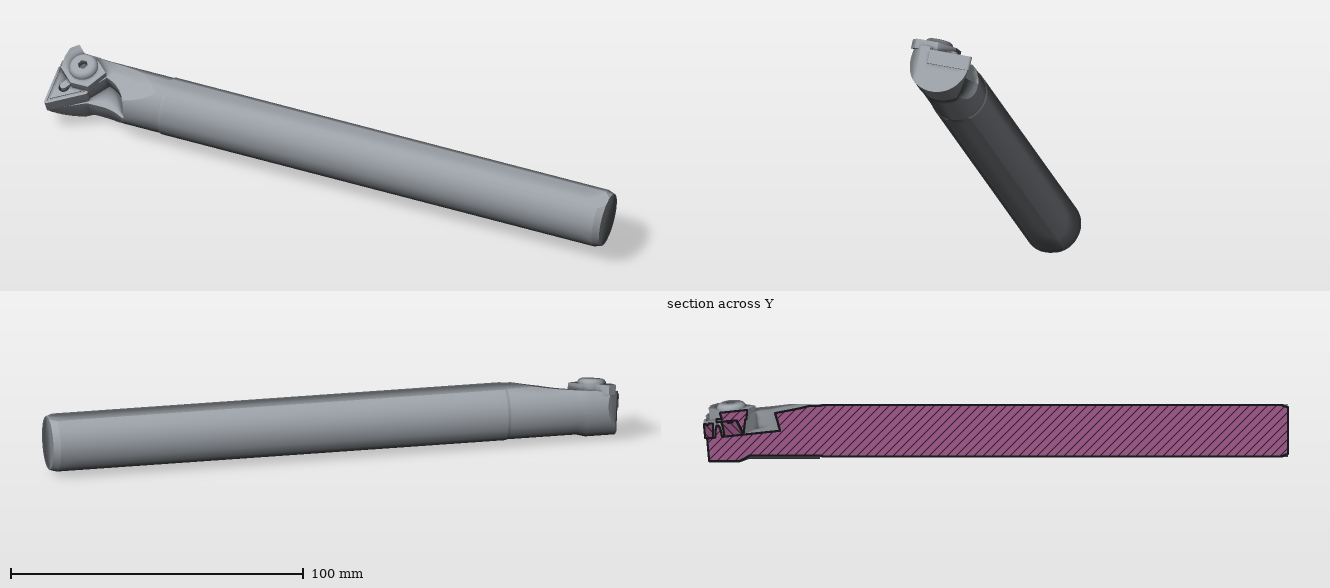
import cadquery as cq
import math


length = 200.0
shank_radius = 10.0
flat_depth = 0.9
flat_height = shank_radius - flat_depth
neck_depth = 0.3
neck_radius = shank_radius - neck_depth
neck_end = 40.0
neck_step = 1.0
end_chamfer_length = 2.5
end_chamfer_depth = 0.8

head_radius = 11.0
head_axis_y = neck_radius - head_radius
head_end = 12.5
head_blend_end = 16.0

tip_x = -0.05
tip_y = -13.5
tip_z = 0.0
end_tilt = math.radians(6)
side_tilt = math.radians(14)
edge_turn = -3.0
insert_edge = 16.5
insert_thickness = 4.8
nose_radius = 0.8
insert_hole_diameter = 3.8
land_width = 0.8
breaker_width = 0.8
breaker_depth = 0.5
edge_clearance = 0.5

step_height = 1.0
step_run = 18.0
step_end = 44.0
step_curve_radius = 136.0
reach = 60.0

flank_end = (13.2, 6.0)
relief_start = (19.0, 5.5)
relief_middle = (23.5, 4.5)
relief_end = (27.5, 2.5)
back_corner = (7.5, 24.0)
facet_back = (2.5, 19.5)
facet_front = (1.5, 17.0)

pocket_start = (4.0, 2.0)
pocket_side = (14.0, 8.5)
pocket_corner = (19.0, 14.0)
pocket_wall_middle = (24.5, 10.5)
pocket_wall_end = (27.5, 4.8)

clamp_outline = [
    (6.5, 23.5),
    (9.0, 20.8),
    (15.0, 18.5),
    (18.8, 14.5),
    (14.5, 8.0),
    (8.0, 8.5),
    (2.8, 13.5),
    (2.8, 18.0),
    (3.5, 21.5),
]
clamp_top = 3.2
dome_top = 5.0
dome_center = (10.5, 15.2)
dome_radius = 5.0
dome_edge = dome_top - clamp_top
socket_diameter = 3.5
socket_depth = 2.5
claw_width = 2.5
claw_top = 1.2

tilted = cq.Plane(
    origin=(tip_x, tip_y, tip_z),
    xDir=(math.cos(end_tilt), 0, math.sin(end_tilt)),
    normal=(
        -math.sin(end_tilt) * math.cos(side_tilt),
        -math.sin(side_tilt),
        math.cos(end_tilt) * math.cos(side_tilt),
    ),
)


def at_height(height):
    """Workplane parallel to the insert, at a height above its top face."""
    return cq.Workplane(tilted).workplane(offset=height)


def along_bisector(distance):
    """Point at a distance from the tip, on the line from the tip to the insert's center."""
    direction = math.radians(edge_turn + 60)
    return distance * math.cos(direction), distance * math.sin(direction)


def triangle(inset, height):
    """Wire of the insert triangle moved inward by inset, at a height above the insert's top face."""
    x0, y0 = along_bisector(2 * inset)
    side = insert_edge - 2 * math.sqrt(3) * inset
    corners = [(x0, y0)]
    for direction in (math.radians(edge_turn + 30), math.radians(edge_turn + 90)):
        corners.append((x0 + side * math.cos(direction), y0 + side * math.sin(direction)))
    return at_height(height).polyline(corners).close()


def insert_center():
    """Center of the insert's top face in the tilted frame."""
    return along_bisector(insert_edge / math.sqrt(3))


def insert_blank(height):
    """Rounded triangular prism standing on the seat of the insert."""
    prism = triangle(0, -insert_thickness).extrude(height)
    return prism.edges(cq.selectors.ParallelDirSelector(tilted.zDir)).fillet(nose_radius)


def build_shank():
    profile = [
        (0, 0),
        (0, neck_radius),
        (neck_end, neck_radius),
        (neck_end + neck_step, shank_radius),
        (length - end_chamfer_length, shank_radius),
        (length, shank_radius - end_chamfer_depth),
        (length, 0),
    ]
    bar = cq.Workplane("XY").polyline(profile).close().revolve(360, (0, 0), (1, 0))
    above_flat = (
        cq.Workplane("XY", origin=(0, 0, flat_height))
        .box(length, 2 * shank_radius, shank_radius, centered=(False, True, False))
    )
    below_flat = (
        cq.Workplane("XY", origin=(neck_end, 0, -flat_height - shank_radius))
        .box(length - neck_end, 2 * shank_radius, shank_radius, centered=(False, True, False))
    )
    return bar.cut(above_flat).cut(below_flat)


def build_head():
    head = cq.Workplane("YZ").center(head_axis_y, 0).circle(head_radius).extrude(head_end)
    blend = (
        cq.Workplane("YZ", origin=(head_end, 0, 0))
        .center(head_axis_y, 0)
        .circle(head_radius)
        .workplane(offset=head_blend_end - head_end)
        .center(-head_axis_y, 0)
        .circle(neck_radius)
        .loft(ruled=True)
    )
    return head.union(blend)


def head_outline():
    """Prism that keeps the bar and trims the head behind the insert's edges."""
    return (
        at_height(0)
        .moveTo(*along_bisector(2 * edge_clearance))
        .lineTo(*flank_end)
        .lineTo(*relief_start)
        .threePointArc(relief_middle, relief_end)
        .lineTo(relief_end[0], -reach)
        .lineTo(2 * length, -reach)
        .lineTo(2 * length, reach)
        .lineTo(back_corner[0], reach)
        .lineTo(*back_corner)
        .lineTo(*facet_back)
        .lineTo(*facet_front)
        .close()
        .extrude(reach, both=True)
    )


def step_rise(run):
    return step_curve_radius - math.sqrt(step_curve_radius**2 - run**2)


def top_step():
    """Cut above the head: parallel to the insert, then curving up toward the shank."""
    curve_run = step_end - step_run
    middle = (step_run + curve_run / 2, step_height + step_rise(curve_run / 2))
    end = (step_end, step_height + step_rise(curve_run))
    side = cq.Plane(origin=tilted.origin, xDir=tilted.xDir, normal=-tilted.yDir)
    return (
        cq.Workplane(side)
        .moveTo(-reach, step_height)
        .lineTo(step_run, step_height)
        .threePointArc(middle, end)
        .lineTo(step_end, reach)
        .lineTo(-reach, reach)
        .close()
        .extrude(reach, both=True)
    )


def chip_pocket():
    return (
        at_height(-insert_thickness)
        .moveTo(*pocket_start)
        .lineTo(*pocket_side)
        .lineTo(*pocket_corner)
        .threePointArc(pocket_wall_middle, pocket_wall_end)
        .lineTo(pocket_wall_end[0], -reach)
        .lineTo(pocket_start[0], -reach)
        .close()
        .extrude(reach)
    )


def build_clamp():
    plate = at_height(0).polyline(clamp_outline).close().extrude(clamp_top)
    pin = (
        at_height(-insert_thickness)
        .center(*insert_center())
        .circle(claw_width / 2)
        .extrude(insert_thickness + claw_top)
    )
    hole_x, hole_y = insert_center()
    reach_x = dome_center[0] - hole_x
    reach_y = dome_center[1] - hole_y
    claw = (
        at_height(0)
        .center((hole_x + dome_center[0]) / 2, (hole_y + dome_center[1]) / 2)
        .transformed(rotate=(0, 0, math.degrees(math.atan2(reach_y, reach_x))))
        .rect(math.hypot(reach_x, reach_y), claw_width)
        .extrude(claw_top)
    )
    dome = (
        at_height(0)
        .center(*dome_center)
        .circle(dome_radius)
        .extrude(dome_top)
        .faces(cq.selectors.DirectionMinMaxSelector(tilted.zDir))
        .edges()
        .fillet(dome_edge)
    )
    socket = (
        at_height(dome_top - socket_depth)
        .center(*dome_center)
        .polygon(6, socket_diameter)
        .extrude(reach)
    )
    return plate.union(pin).union(claw).union(dome).cut(socket)


def build_insert():
    hole = (
        at_height(-insert_thickness)
        .center(*insert_center())
        .circle(insert_hole_diameter / 2)
        .extrude(insert_thickness)
    )
    breaker = (
        triangle(land_width, -breaker_depth)
        .extrude(breaker_depth)
        .cut(triangle(land_width + breaker_width, -breaker_depth).extrude(breaker_depth))
    )
    return insert_blank(insert_thickness).cut(hole).cut(breaker)


insert = build_insert()
holder = (
    build_shank()
    .union(build_head())
    .intersect(head_outline())
    .cut(top_step())
    .cut(chip_pocket())
    .cut(insert_blank(reach))
)
holder = holder.union(build_clamp())

result = cq.Compound.makeCompound([holder.solids().val(), insert.solids().val()])